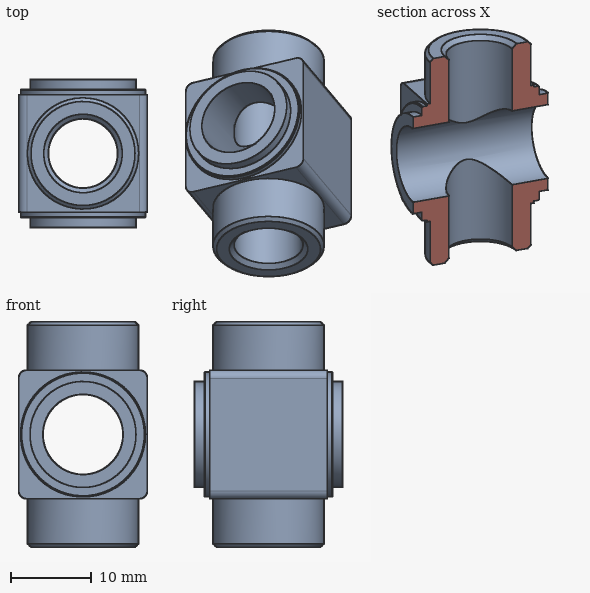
import cadquery as cq

block_side = 16.0
block_depth = 14.6
block_edge_radius = 1.0

total_height = 28
spigot_diameter = 13.8
spigot_chamfer = 0.45
vertical_bore_diameter = 8.57
vertical_bore_mouth_diameter = 9.75

collar_span = block_side
collar_diameter = 15.5
collar_chamfer = 0.15
rim_span = 18.4
rim_diameter = 13.15
cross_bore_diameter = 9.9


def centered_cylinder(plane, diameter, length):
    """Cylinder centred on the origin, along the normal of the plane."""
    return cq.Workplane(plane).circle(diameter / 2).extrude(length / 2, both=True)


block = (
    cq.Workplane("XY")
    .box(block_side, block_depth, block_side)
    .edges("|Y")
    .fillet(block_edge_radius)
)

spigots = (
    centered_cylinder("XY", spigot_diameter, total_height)
    .faces("<Z or >Z")
    .edges()
    .chamfer(spigot_chamfer)
)

collars = (
    centered_cylinder("XZ", collar_diameter, collar_span)
    .faces("<Y or >Y")
    .edges()
    .chamfer(collar_chamfer)
)
rims = centered_cylinder("XZ", rim_diameter, rim_span)

mouth_chamfer = (vertical_bore_mouth_diameter - vertical_bore_diameter) / 2
vertical_bore = centered_cylinder("XY", vertical_bore_diameter, total_height)
cross_bore = centered_cylinder("XZ", cross_bore_diameter, rim_span)

body = block.union(spigots).union(collars).union(rims)
bored = body.cut(vertical_bore)
countersunk = (
    bored.faces("<Z or >Z")
    .edges(cq.selectors.RadiusNthSelector(0))
    .chamfer(mouth_chamfer)
)

result = countersunk.cut(cross_bore)